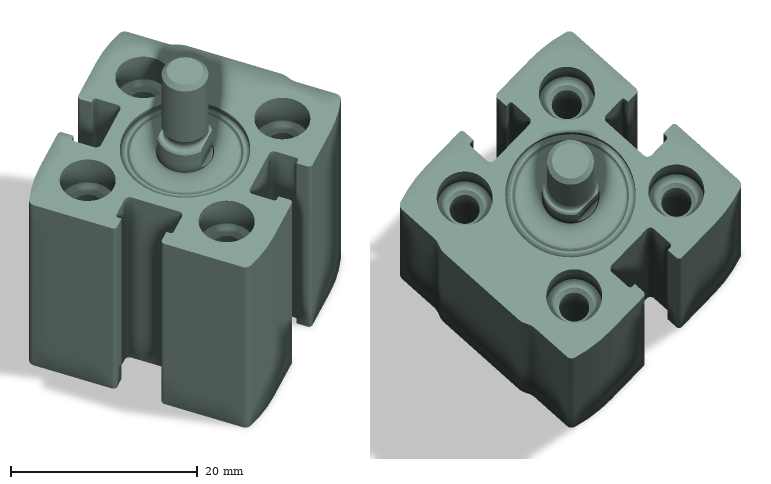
import cadquery as cq
import math

total_height = 38.0
body_side = 27.0
body_height = 25.5
half_side = body_side / 2
rod_reach = total_height - body_height
body_top = body_height
bottom_y = -half_side

side_arc_start = 8.15
side_arc_radius = 16.35
corner_radius = 0.75
ridge_height = 0.5
ridge_top_half = 5.4
ridge_foot_half = 7.45

slot_floor = 8.6
slot_lip_inner = 11.8
slot_mouth_half = 2.6
slot_inner_half = 3.3
slot_floor_radius = 0.57
slot_lip_radius = 0.3
slot_mouth_radius = 0.4

hole_offset = 8.0
hole_diameter = 3.23
counterbore_diameter = 6.0
counterbore_depth = 3.6
countersink_diameter = 4.15

recess_radius = 14.0 / 2
recess_depth = 0.65
ring_radius = 6.42
ring_inner_radius = 6.27
ring_depth = 0.3
groove_depth = 0.55
plate_radius = 6.1
plate_bevel_radius = 5.9
plate_flat_radius = 5.62
plate_bevel_depth = 0.35
plate_depth = 0.3

rod_diameter = 6.0
rod_bore_diameter = 6.25
rod_insertion = body_height / 2
flats_width = 5.0
flats_depth = 0.1
flats_runout = 0.3
shoulder_height = 2.55
shoulder_chamfer = 0.2
neck_diameter = 3.9
neck_fillet = 0.38
thread_diameter = 5.0
thread_start = 3.9
thread_chamfer = 0.55


def body_blank():
    """Extruded square outline with bowed side ends and rounded corners."""
    arc_center_x = half_side - side_arc_radius
    arc_rise = half_side - side_arc_start

    def bow_point(rise):
        return (arc_center_x + math.sqrt(side_arc_radius**2 - rise**2), side_arc_start + rise)

    corner = bow_point(arc_rise)
    bow_middle = bow_point(arc_rise / 2)
    profile = (
        cq.Workplane("XY")
        .moveTo(-corner[0], bottom_y)
        .lineTo(corner[0], bottom_y)
        .threePointArc((bow_middle[0], -bow_middle[1]), (half_side, -side_arc_start))
        .lineTo(half_side, side_arc_start)
        .threePointArc(bow_middle, corner)
        .lineTo(-corner[0], half_side)
        .threePointArc((-bow_middle[0], bow_middle[1]), (-half_side, side_arc_start))
        .lineTo(-half_side, -side_arc_start)
        .threePointArc((-bow_middle[0], -bow_middle[1]), (-corner[0], bottom_y))
        .close()
    )
    return profile.extrude(body_height).edges("|Z and (>Y or <Y)").fillet(corner_radius)


def ridge():
    """Shallow ridge on the +Y face, blended in by two tangent arcs on each side."""
    crest_y = half_side + ridge_height
    blend_x = (ridge_top_half + ridge_foot_half) / 2
    blend_y = half_side + ridge_height / 2
    half_ridge = (
        cq.Workplane("XY")
        .moveTo(0, crest_y)
        .lineTo(-ridge_top_half, crest_y)
        .tangentArcPoint((-blend_x, blend_y), relative=False)
        .tangentArcPoint((-ridge_foot_half, half_side), relative=False)
        .lineTo(0, half_side)
        .close()
        .extrude(body_height)
    )
    return half_ridge.union(half_ridge.mirror("YZ"))


def slot_cutter():
    """T-slot opening toward -Y, with rounded lips and floor corners."""
    cavity = (
        cq.Workplane("XY")
        .rect(2 * slot_inner_half, slot_lip_inner - slot_floor)
        .extrude(body_height)
        .translate((0, -(slot_lip_inner + slot_floor) / 2, 0))
        .edges("|Z and >Y")
        .fillet(slot_floor_radius)
        .edges("|Z and <Y")
        .fillet(slot_lip_radius)
    )
    mouth_length = half_side - slot_floor - slot_floor_radius
    mouth = (
        cq.Workplane("XY")
        .rect(2 * slot_mouth_half, mouth_length)
        .extrude(body_height)
        .translate((0, bottom_y + mouth_length / 2, 0))
    )
    flare_y = bottom_y + slot_mouth_radius
    flare_half = slot_mouth_half + slot_mouth_radius
    bend = slot_mouth_radius * (1 - math.sqrt(0.5))
    flare = (
        cq.Workplane("XY")
        .moveTo(-flare_half, bottom_y)
        .threePointArc((-slot_mouth_half - bend, bottom_y + bend), (-slot_mouth_half, flare_y))
        .lineTo(slot_mouth_half, flare_y)
        .threePointArc((slot_mouth_half + bend, bottom_y + bend), (flare_half, bottom_y))
        .close()
        .extrude(body_height)
    )
    return cavity.union(mouth).union(flare)


def mounting_hole_cutter():
    """Through hole with a counterbore from the top and a countersink at its floor."""
    hole_radius = hole_diameter / 2
    sink_radius = countersink_diameter / 2
    bore_radius = counterbore_diameter / 2
    floor_z = body_top - counterbore_depth
    return (
        cq.Workplane("XZ")
        .polyline([
            (0, 0),
            (hole_radius, 0),
            (hole_radius, floor_z - (sink_radius - hole_radius)),
            (sink_radius, floor_z),
            (bore_radius, floor_z),
            (bore_radius, body_top),
            (0, body_top),
        ])
        .close()
        .revolve(360, (0, 0), (0, 1))
    )


def recess_cutter():
    """Round recess that leaves a sloping ring, a narrow groove and a bevelled plate."""
    return (
        cq.Workplane("XZ")
        .polyline([
            (0, body_top),
            (recess_radius, body_top),
            (recess_radius, body_top - recess_depth),
            (ring_radius, body_top - ring_depth),
            (ring_inner_radius, body_top - ring_depth),
            (plate_radius, body_top - groove_depth),
            (plate_bevel_radius, body_top - plate_bevel_depth),
            (plate_flat_radius, body_top - plate_depth),
            (0, body_top - plate_depth),
        ])
        .close()
        .revolve(360, (0, 0), (0, 1))
    )


def rod_bore_cutter():
    """Blind bore on whose floor the rod stands."""
    return (
        cq.Workplane("XY", origin=(0, 0, body_top - rod_insertion))
        .circle(rod_bore_diameter / 2)
        .extrude(rod_insertion)
    )


def make_housing():
    housing = body_blank().union(ridge())
    for turn in (-90, 0, 90):
        housing = housing.cut(slot_cutter().rotate((0, 0, 0), (0, 0, 1), turn))
    for x in (-hole_offset, hole_offset):
        for y in (-hole_offset, hole_offset):
            housing = housing.cut(mounting_hole_cutter().translate((x, y, 0)))
    return housing.cut(recess_cutter()).cut(rod_bore_cutter())


def make_rod():
    """Turned rod: round shank, chamfered shoulder, relief neck and plain thread cylinder."""
    rod_radius = rod_diameter / 2
    neck_radius = neck_diameter / 2
    thread_radius = thread_diameter / 2
    fillet_bend = neck_fillet * (1 - math.sqrt(0.5))
    cone_foot = thread_start - (thread_radius - neck_radius)
    cone_fillet_start = cone_foot - neck_fillet * math.tan(math.pi / 8)

    def cone_fillet_point(angle):
        return (
            neck_radius + neck_fillet * (1 - math.cos(angle)),
            cone_fillet_start + neck_fillet * math.sin(angle),
        )

    rod = (
        cq.Workplane("XZ", origin=(0, 0, body_top))
        .moveTo(0, -rod_insertion)
        .lineTo(rod_radius, -rod_insertion)
        .lineTo(rod_radius, shoulder_height - shoulder_chamfer)
        .lineTo(rod_radius - shoulder_chamfer, shoulder_height)
        .lineTo(neck_radius + neck_fillet, shoulder_height)
        .threePointArc(
            (neck_radius + fillet_bend, shoulder_height + fillet_bend),
            (neck_radius, shoulder_height + neck_fillet),
        )
        .lineTo(neck_radius, cone_fillet_start)
        .threePointArc(cone_fillet_point(math.pi / 8), cone_fillet_point(math.pi / 4))
        .lineTo(thread_radius, thread_start)
        .lineTo(thread_radius, rod_reach - thread_chamfer)
        .lineTo(thread_radius - thread_chamfer, rod_reach)
        .lineTo(0, rod_reach)
        .close()
        .revolve(360, (0, 0), (0, 1))
    )
    return rod.cut(wrench_flats_cutter())


def wrench_flats_cutter():
    """Material outside the two flats, which face -X and +X and slope outward at their foot."""
    rod_radius = rod_diameter / 2
    flat_x = flats_width / 2
    flats_bottom = body_top - flats_depth
    shoulder_top = body_top + shoulder_height
    one_side = (
        cq.Workplane("XZ")
        .polyline([
            (flat_x, shoulder_top),
            (flat_x, flats_bottom),
            (rod_radius, flats_bottom - flats_runout),
            (rod_radius, shoulder_top),
        ])
        .close()
        .extrude(rod_radius, both=True)
    )
    return one_side.union(one_side.mirror("YZ"))


housing = make_housing()
rod = make_rod()
result = cq.Compound.makeCompound([housing.val(), rod.val()])